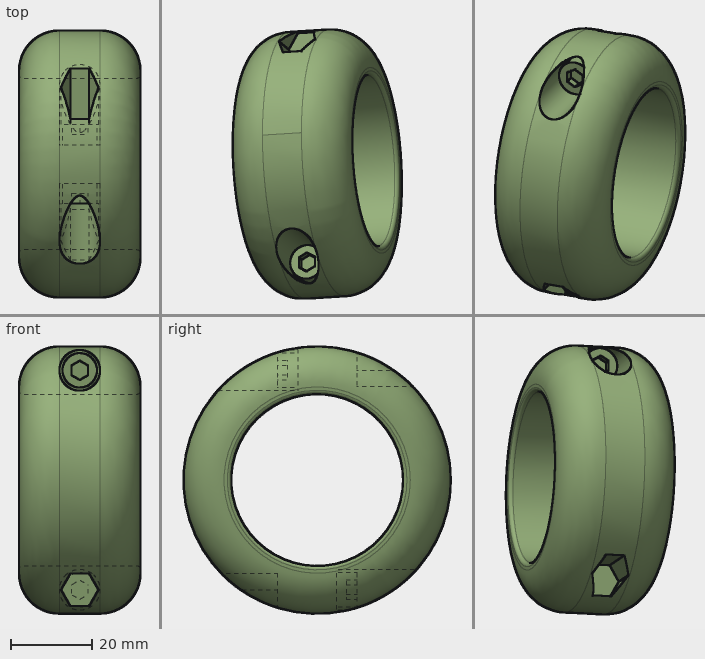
import cadquery as cq

ring_diameter = 65.9
ring_width = 30.0
bore_diameter = 42.2
outer_fillet = 10.0
bore_fillet = 1.0

screw_height = 27.0
counterbore_diameter = 10.0
counterbore_floor = 4.75
head_diameter = 8.5
head_length = 5.0
socket_across_corners = 4.75
socket_depth = 2.5

nut_across_corners = 9.2
nut_pocket_floor = 9.75

hex_sides = 6
ring_radius = ring_diameter / 2
head_face = counterbore_floor + head_length


def make_cylinder(diameter):
    """Cylinder along X over the whole ring width."""
    end_face = cq.Workplane("YZ", origin=(-ring_width / 2, 0, 0))
    return end_face.circle(diameter / 2).extrude(ring_width)


def make_ring():
    """Round-shouldered ring centred on the origin."""
    body = make_cylinder(ring_diameter).faces("<X or >X").edges().fillet(outer_fillet)
    body = body.cut(make_cylinder(bore_diameter))
    bore_rims = cq.selectors.RadiusNthSelector(0)
    return body.faces("<X or >X").edges(bore_rims).fillet(bore_fillet)


def screw_plane(y):
    """Sketch plane across the upper screw axis, with its normal towards -Y."""
    return cq.Workplane("XZ", origin=(0, y, screw_height))


def make_counterbore():
    """Annular clearance and open recess around the upper screw head, with its hex socket."""
    recess = screw_plane(-counterbore_floor).circle(counterbore_diameter / 2)
    recess = recess.extrude(ring_radius - counterbore_floor)
    head = screw_plane(-counterbore_floor).circle(head_diameter / 2).extrude(head_length)
    socket = (
        screw_plane(socket_depth - head_face)
        .transformed(rotate=(0, 0, 90))
        .polygon(hex_sides, socket_across_corners)
        .extrude(socket_depth)
    )
    return recess.cut(head.cut(socket))


def make_nut_pocket():
    """Hexagonal pocket, corners towards X, behind the upper screw."""
    pocket = screw_plane(ring_radius).polygon(hex_sides, nut_across_corners)
    return pocket.extrude(ring_radius - nut_pocket_floor)


result = make_ring()

for turn in (0, 180):
    for cutter in (make_counterbore(), make_nut_pocket()):
        result = result.cut(cutter.rotate((0, 0, 0), (1, 0, 0), turn))